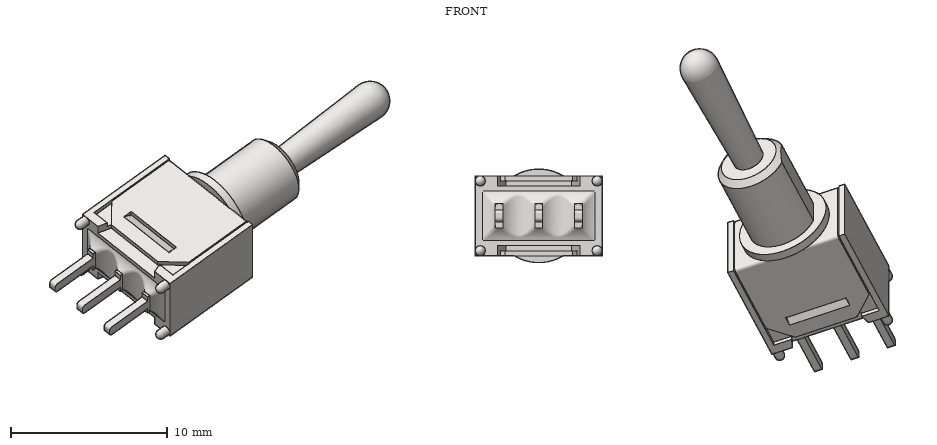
import cadquery as cq
import math


HOUSING_WIDTH = 8.13
HOUSING_DEPTH = 5.12
HOUSING_LENGTH = 7.3

STRAP_THICKNESS = 0.32
STRAP_WIDTH = 7.15
STRAP_TIP_WIDTH = 4.3
STRAP_LENGTH = 6.57
STRAP_TAPER_START = 5.17
STRAP_BEND_RADIUS = 0.22
STRAP_SIDE_CLEARANCE = 0.08
STRAP_TIP_CLEARANCE = 0.08
WINDOW_WIDTH = 4.17
WINDOW_START = 4.87
WINDOW_LENGTH = 0.65

FLANGE_DIAMETER = 6.0
FLANGE_THICKNESS = 0.57
BUSHING_DIAMETER = 4.6
BUSHING_END = 6.17
BUSHING_CHAMFER = 0.4
BUSHING_FLAT_DISTANCE = 2.13
LEVER_TIP_RADIUS = 1.27
LEVER_NECK_RADIUS = 1.0
LEVER_END = 15.5

GROOVE_DEPTH = 0.65
GROOVE_MOUTH_WIDTH = 5.28
TOOTH_WIDTH = WINDOW_WIDTH

PEG_DIAMETER = 0.65
PEG_STRAIGHT_LENGTH = 0.5

TERMINAL_PITCH = 2.53
TERMINAL_WIDTH = 0.5
TERMINAL_DEPTH = 0.75
TERMINAL_END = -11.42
TERMINAL_END_RADIUS = 0.25
MOUND_WIDTH = 7.22
MOUND_DEPTH = 3.18
MOUND_HEIGHT = 0.57
NECK_DEPTH = 1.55
NECK_LENGTH = 0.2
SCALLOP_DIAMETER = 2.7
FLARE_DIAMETER = 3.25
MOUND_EDGE_RADIUS = 0.27

TERMINAL_FACE = -HOUSING_LENGTH
MOUND_TOP = TERMINAL_FACE - MOUND_HEIGHT
RECESS_WIDTH = STRAP_WIDTH + 2 * STRAP_SIDE_CLEARANCE
RECESS_END = -(STRAP_LENGTH + STRAP_TIP_CLEARANCE)
RECESS_FLOOR = HOUSING_DEPTH / 2 - STRAP_THICKNESS
GROOVE_FLOOR = HOUSING_DEPTH / 2 - GROOVE_DEPTH
PEG_OFFSET_X = (HOUSING_WIDTH - PEG_DIAMETER) / 2
PEG_OFFSET_Z = (HOUSING_DEPTH - PEG_DIAMETER) / 2
WINDOW_END = -(WINDOW_START + WINDOW_LENGTH)
TERMINAL_PLACES = [-TERMINAL_PITCH, 0, TERMINAL_PITCH]


def box(width, length, depth, end_y):
    """Box centred on X and Z that runs from end_y toward +Y."""
    return cq.Workplane("XY").box(width, length, depth).translate((0, end_y + length / 2, 0))


def both_faces(feature):
    """The feature near the +Z face together with its mirror image near the -Z face."""
    return [feature, feature.mirror("XY")]


def strap_recess():
    """Pocket for one leg of the strap."""
    return (
        cq.Workplane("XY")
        .box(RECESS_WIDTH, -RECESS_END, STRAP_THICKNESS, centered=(True, False, False))
        .translate((0, RECESS_END, RECESS_FLOOR))
    )


def latch_groove():
    """Groove from the latch tooth to the terminal face, widening toward that face."""
    return (
        cq.Workplane("XY", origin=(0, 0, GROOVE_FLOOR))
        .moveTo(-TOOTH_WIDTH / 2, WINDOW_END)
        .lineTo(TOOTH_WIDTH / 2, WINDOW_END)
        .lineTo(GROOVE_MOUTH_WIDTH / 2, TERMINAL_FACE)
        .lineTo(-GROOVE_MOUTH_WIDTH / 2, TERMINAL_FACE)
        .close()
        .extrude(GROOVE_DEPTH)
    )


def latch_tooth():
    """Ramp that fills the strap window, rising toward the terminal end."""
    return (
        cq.Workplane("YZ")
        .moveTo(-WINDOW_START, RECESS_FLOOR)
        .lineTo(WINDOW_END, RECESS_FLOOR)
        .lineTo(WINDOW_END, HOUSING_DEPTH / 2)
        .close()
        .extrude(TOOTH_WIDTH / 2, both=True)
    )


def peg(x, z):
    """Round-ended stand-off peg."""
    radius = PEG_DIAMETER / 2
    shank = cq.Workplane("XZ", origin=(x, TERMINAL_FACE, z)).circle(radius).extrude(PEG_STRAIGHT_LENGTH)
    dome = cq.Workplane("XY").sphere(radius).translate((x, TERMINAL_FACE - PEG_STRAIGHT_LENGTH, z))
    return shank.union(dome)


def flare_middle(start, end):
    """Middle point of the concave flare arc from the base on the negative side (start) to the top (end)."""
    chord_x = end[0] - start[0]
    chord_y = end[1] - start[1]
    chord = math.hypot(chord_x, chord_y)
    radius = FLARE_DIAMETER / 2
    sagitta = radius - math.sqrt(radius**2 - (chord / 2) ** 2)
    middle_x = (start[0] + end[0]) / 2 - sagitta * chord_y / chord
    middle_y = (start[1] + end[1]) / 2 + sagitta * chord_x / chord
    return (middle_x, middle_y)


def flared_profile(base_width, top_width, length):
    """Prism whose section flares from the mound's top out to its base along two concave arcs."""
    base_left = (-base_width / 2, TERMINAL_FACE)
    top_left = (-top_width / 2, MOUND_TOP)
    top_right = (top_width / 2, MOUND_TOP)
    middle_left = flare_middle(base_left, top_left)
    return (
        cq.Workplane("XY")
        .moveTo(*base_left)
        .threePointArc(middle_left, top_left)
        .lineTo(*top_right)
        .threePointArc((-middle_left[0], middle_left[1]), (base_width / 2, TERMINAL_FACE))
        .close()
        .extrude(length / 2, both=True)
    )


def mound():
    """Seal around the terminals, flared on all sides and scalloped between the terminals."""
    top_width = 2 * TERMINAL_PITCH + TERMINAL_WIDTH
    ends = flared_profile(MOUND_WIDTH, top_width, MOUND_DEPTH)
    sides = flared_profile(MOUND_DEPTH, NECK_DEPTH, MOUND_WIDTH).rotate((0, 0, 0), (0, 1, 0), 90)
    seal = ends.intersect(sides)
    radius = SCALLOP_DIAMETER / 2
    half_chord = (TERMINAL_PITCH - TERMINAL_WIDTH) / 2
    centre_y = MOUND_TOP - math.sqrt(radius**2 - half_chord**2)
    for centre_x in (-TERMINAL_PITCH / 2, TERMINAL_PITCH / 2):
        scallop = (
            cq.Workplane("XY", origin=(centre_x, centre_y, 0)).circle(radius).extrude(MOUND_DEPTH, both=True)
        )
        seal = seal.cut(scallop)
    curved_edges = seal.edges("not %LINE")
    return curved_edges.fillet(MOUND_EDGE_RADIUS)


def terminal(x):
    """Flat pin with a rounded end, and the seal's neck around its root."""
    pin = box(TERMINAL_WIDTH, TERMINAL_FACE - TERMINAL_END, TERMINAL_DEPTH, TERMINAL_END)
    pin = pin.faces("<Y").edges("|X").fillet(TERMINAL_END_RADIUS)
    neck = box(TERMINAL_WIDTH, NECK_LENGTH, NECK_DEPTH, MOUND_TOP - NECK_LENGTH)
    return pin.union(neck).translate((x, 0, 0))


def make_housing():
    """Housing with strap recesses, latch teeth, pegs, seal and terminals."""
    body = box(HOUSING_WIDTH, HOUSING_LENGTH, HOUSING_DEPTH, TERMINAL_FACE)
    body = body.cut(box(RECESS_WIDTH, STRAP_THICKNESS, HOUSING_DEPTH, -STRAP_THICKNESS))
    for recess in both_faces(strap_recess()):
        body = body.cut(recess)
    for groove in both_faces(latch_groove()):
        body = body.cut(groove)
    for tooth in both_faces(latch_tooth()):
        body = body.union(tooth)
    body = body.union(mound())
    for x in (-PEG_OFFSET_X, PEG_OFFSET_X):
        for z in (-PEG_OFFSET_Z, PEG_OFFSET_Z):
            body = body.union(peg(x, z))
    for x in TERMINAL_PLACES:
        body = body.union(terminal(x))
    return body


def strap():
    """U-shaped strap with tapered legs and a latch window in each leg."""
    outline = (
        cq.Workplane("XY")
        .moveTo(-STRAP_WIDTH / 2, 0)
        .lineTo(STRAP_WIDTH / 2, 0)
        .lineTo(STRAP_WIDTH / 2, -STRAP_TAPER_START)
        .lineTo(STRAP_TIP_WIDTH / 2, -STRAP_LENGTH)
        .lineTo(-STRAP_TIP_WIDTH / 2, -STRAP_LENGTH)
        .lineTo(-STRAP_WIDTH / 2, -STRAP_TAPER_START)
        .close()
        .extrude(HOUSING_DEPTH / 2, both=True)
        .faces(">Y")
        .edges("|X")
        .fillet(STRAP_BEND_RADIUS)
    )
    inside = box(HOUSING_WIDTH, HOUSING_LENGTH, 2 * RECESS_FLOOR, -STRAP_THICKNESS - HOUSING_LENGTH)
    windows = box(WINDOW_WIDTH, WINDOW_LENGTH, HOUSING_DEPTH, WINDOW_END)
    return outline.cut(inside).cut(windows)


def bushing():
    """Flange and chamfered bushing with a flat on its -X side."""
    flange = cq.Workplane("XZ").circle(FLANGE_DIAMETER / 2).extrude(-FLANGE_THICKNESS)
    barrel = (
        cq.Workplane("XZ")
        .circle(BUSHING_DIAMETER / 2)
        .extrude(-BUSHING_END)
        .faces(">Y")
        .chamfer(BUSHING_CHAMFER)
    )
    beyond_flat = box(BUSHING_DIAMETER, BUSHING_END, BUSHING_DIAMETER, 0).translate(
        (-BUSHING_FLAT_DISTANCE - BUSHING_DIAMETER / 2, 0, 0)
    )
    return flange.union(barrel.cut(beyond_flat))


def lever():
    """Tapered lever with a ball end."""
    ball_centre = LEVER_END - LEVER_TIP_RADIUS
    ball_side = LEVER_TIP_RADIUS * math.sqrt(0.5)
    return (
        cq.Workplane("XY")
        .moveTo(0, BUSHING_END)
        .lineTo(LEVER_NECK_RADIUS, BUSHING_END)
        .lineTo(LEVER_TIP_RADIUS, ball_centre)
        .threePointArc((ball_side, ball_centre + ball_side), (0, LEVER_END))
        .close()
        .revolve(360, (0, 0, 0), (0, 1, 0))
    )


def make_frame():
    """Strap, flange, bushing and lever as one body."""
    return strap().union(bushing()).union(lever())


housing = make_housing()
frame = make_frame()
result = cq.Compound.makeCompound([housing.val(), frame.val()])